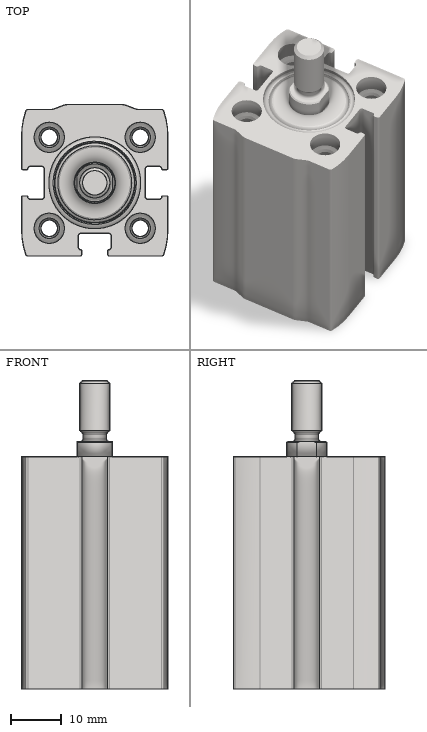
import cadquery as cq
import math


total_height = 61.0
housing_height = 46.0
housing_width = 29.0
half_width = housing_width / 2
flank_y = 14.5
raised_y = 15.5

bow_start_y = 9.3
bow_radius = 15.0
corner_radius = 0.5
ridge_top_half = 5.8
ridge_foot_half = 8.35
ridge_radius = 2.0

slot_floor = 10.0
slot_lip = 13.25
slot_half = 3.25
slot_mouth_half = 2.55
slot_floor_radius = 0.5
slot_mouth_radius = 0.35
slot_lip_radius = 0.25

hole_spacing = 18.0
hole_diameter = 3.25
countersink_diameter = 4.0
countersink_depth = (countersink_diameter - hole_diameter) / 2
counterbore_diameter = 6.0
counterbore_depth = 3.4

disc_depth = 0.25
bore_chamfer = 0.09

recess_profile = [
    (0.0, 0.0),
    (18.2 / 2, 0.0),
    (18.2 / 2, 0.75),
    (8.25, 0.25),
    (16.0 / 2, 0.4),
    (16.0 / 2, 0.55),
    (7.85, 0.75),
    (7.3, 0.3),
    (7.1, disc_depth),
    (0.0, disc_depth),
]

rod_radius = 8.0 / 2
rod_depth = 10.0
collar_top = housing_height + 3.0
collar_chamfer = 0.25
flat_half = 3.51
runout_slope = 0.6
flat_depth = 1.0
thread_radius = 6.0 / 2
thread_bottom = 51.2
thread_chamfer = 0.58
neck_radius = 4.7 / 2
neck_fillet = 0.5


def bowed_x(y):
    """Half width of the bowed side at the given Y."""
    return half_width - bow_radius + math.sqrt(bow_radius**2 - (abs(y) - bow_start_y) ** 2)


def make_profile():
    corner_x = bowed_x(flank_y)
    bow_mid_y = (bow_start_y + flank_y) / 2
    bow_mid_x = bowed_x(bow_mid_y)
    blank = (
        cq.Workplane("XY")
        .moveTo(-corner_x, -flank_y)
        .lineTo(corner_x, -flank_y)
        .threePointArc((bow_mid_x, -bow_mid_y), (half_width, -bow_start_y))
        .lineTo(half_width, bow_start_y)
        .threePointArc((bow_mid_x, bow_mid_y), (corner_x, flank_y))
        .lineTo(ridge_foot_half, flank_y)
        .lineTo(ridge_top_half, raised_y)
        .lineTo(-ridge_top_half, raised_y)
        .lineTo(-ridge_foot_half, flank_y)
        .lineTo(-corner_x, flank_y)
        .threePointArc((-bow_mid_x, bow_mid_y), (-half_width, bow_start_y))
        .lineTo(-half_width, -bow_start_y)
        .threePointArc((-bow_mid_x, -bow_mid_y), (-corner_x, -flank_y))
        .close()
        .extrude(housing_height)
    )
    corners = [(sx * corner_x, sy * flank_y) for sx in (-1, 1) for sy in (-1, 1)]
    ridge_edges = [
        (side * x, y)
        for side in (-1, 1)
        for x, y in ((ridge_foot_half, flank_y), (ridge_top_half, raised_y))
    ]
    blank = fillet_vertical(blank, corners, corner_radius)
    return fillet_vertical(blank, ridge_edges, ridge_radius)


def fillet_vertical(body, points, radius):
    """Fillet the vertical edges that stand at the given XY points."""
    middle = housing_height / 2
    reach = 0.05
    for x, y in points:
        box = cq.selectors.BoxSelector(
            (x - reach, y - reach, middle - reach), (x + reach, y + reach, middle + reach)
        )
        body = body.edges(box).fillet(radius)
    return body


def cut_slot(body, angle):
    """Cut one T-slot; at angle 0 it opens toward -Y."""
    outside = raised_y
    chamber = (
        cq.Workplane("XY")
        .rect(2 * slot_half, slot_lip - slot_floor)
        .extrude(housing_height)
        .edges("|Z")
        .fillet(slot_floor_radius)
        .translate((0, -(slot_lip + slot_floor) / 2, 0))
    )
    mouth_start = (slot_lip + slot_floor) / 2
    mouth = (
        cq.Workplane("XY")
        .rect(2 * slot_mouth_half, outside - mouth_start)
        .extrude(housing_height)
        .translate((0, -(outside + mouth_start) / 2, 0))
    )
    slot = chamber.union(mouth).rotate((0, 0, 0), (0, 0, 1), angle)
    return body.cut(slot)


def cut_mounting_holes(body):
    top = body.faces(">Z").workplane(origin=(0, 0, housing_height))
    body = top.rect(hole_spacing, hole_spacing, forConstruction=True).vertices().cboreHole(
        hole_diameter, counterbore_diameter, counterbore_depth
    )
    ledge_z = housing_height - counterbore_depth
    half = hole_spacing / 2
    for x in (-half, half):
        for y in (-half, half):
            cone = cq.Solid.makeCone(
                hole_diameter / 2,
                countersink_diameter / 2,
                countersink_depth,
                pnt=cq.Vector(x, y, ledge_z - countersink_depth),
            )
            body = body.cut(cq.Workplane(cone))
    return body


def cut_rod_recess(body):
    recess = (
        cq.Workplane("XZ")
        .polyline([(r, housing_height - d) for r, d in recess_profile])
        .close()
        .revolve(360, (0, 0, 0), (0, 1, 0))
    )
    bore = (
        cq.Workplane("XY", origin=(0, 0, housing_height - rod_depth)).circle(rod_radius).extrude(rod_depth)
    )
    rim = cq.Solid.makeCone(
        rod_radius,
        rod_radius + bore_chamfer,
        bore_chamfer,
        pnt=cq.Vector(0, 0, housing_height - disc_depth - bore_chamfer),
    )
    return body.cut(recess).cut(bore).cut(cq.Workplane(rim))


def make_housing():
    body = make_profile()
    for angle in (-90, 0, 90):
        body = cut_slot(body, angle)
    sides = (-1, 1)
    for y, radius in ((flank_y, slot_mouth_radius), (slot_lip, slot_lip_radius)):
        body = fillet_vertical(body, [(side * slot_mouth_half, -y) for side in sides], radius)
    for x, radius in ((half_width, slot_mouth_radius), (slot_lip, slot_lip_radius)):
        edges = [(side_x * x, side_y * slot_mouth_half) for side_x in sides for side_y in sides]
        body = fillet_vertical(body, edges, radius)
    body = cut_mounting_holes(body)
    return cut_rod_recess(body)


def make_rod():
    diagonal = math.sqrt(0.5)
    cone_end_radius = neck_radius + neck_fillet * (1 - diagonal)
    cone_end_z = thread_bottom - (thread_radius - cone_end_radius)
    neck_top = cone_end_z - neck_fillet * diagonal
    half_turn = math.radians(22.5)
    turned = (
        cq.Workplane("XZ")
        .moveTo(0, housing_height - rod_depth)
        .lineTo(rod_radius, housing_height - rod_depth)
        .lineTo(rod_radius, collar_top - collar_chamfer)
        .lineTo(rod_radius - collar_chamfer, collar_top)
        .lineTo(neck_radius + neck_fillet, collar_top)
        .radiusArc((neck_radius, collar_top + neck_fillet), neck_fillet)
        .lineTo(neck_radius, neck_top)
        .threePointArc(
            (
                neck_radius + neck_fillet * (1 - math.cos(half_turn)),
                neck_top + neck_fillet * math.sin(half_turn),
            ),
            (cone_end_radius, cone_end_z),
        )
        .lineTo(thread_radius, thread_bottom)
        .lineTo(thread_radius, total_height - thread_chamfer)
        .lineTo(thread_radius - thread_chamfer, total_height)
        .lineTo(0, total_height)
        .close()
        .revolve(360, (0, 0, 0), (0, 1, 0))
    )
    return cut_wrench_flats(turned)


def cut_wrench_flats(rod):
    """Cut two flats across X, each ending at the bottom in a sloped run-out."""
    flat_bottom = housing_height - flat_depth
    outside = rod_radius + 0.6
    for side in (-1, 1):
        cutter = (
            cq.Workplane("XZ")
            .polyline(
                [
                    (side * flat_half, flat_bottom),
                    (side * flat_half, collar_top),
                    (side * outside, collar_top),
                    (side * outside, flat_bottom - runout_slope * (outside - flat_half)),
                ]
            )
            .close()
            .extrude(rod_radius, both=True)
        )
        rod = rod.cut(cutter)
    return rod


housing = make_housing()
rod = make_rod()
result = cq.Compound.makeCompound([housing.val(), rod.val()])